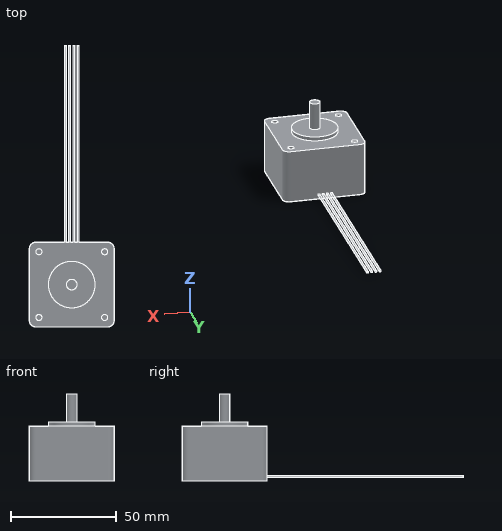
import cadquery as cq

body_width = 40.13
body_height = 25.91
corner_radius = 3.175

pilot_diameter = 22.0
pilot_height = 2.0
shaft_diameter = 5.0
shaft_tip_height = 41.15

mount_hole_diameter = 2.85
mount_hole_spacing = 31.0
mount_hole_depth = 4.0

wire_count = 4
wire_diameter = 0.96
wire_pitch = 2.032
wire_height = 2.21
overall_length = 132.75
wire_length = overall_length - body_width
wire_embed = 1.0


def make_body():
    body = cq.Workplane("XY").rect(body_width, body_width).extrude(body_height)
    return body.edges("|Z").fillet(corner_radius)


def make_pilot():
    return cq.Workplane("XY", origin=(0, 0, body_height)).circle(pilot_diameter / 2).extrude(pilot_height)


def make_shaft():
    shaft_length = shaft_tip_height - body_height
    return cq.Workplane("XY", origin=(0, 0, body_height)).circle(shaft_diameter / 2).extrude(shaft_length)


def make_mount_holes():
    hole_floor = body_height - mount_hole_depth
    return (
        cq.Workplane("XY", origin=(0, 0, hole_floor))
        .rarray(mount_hole_spacing, mount_hole_spacing, 2, 2)
        .circle(mount_hole_diameter / 2)
        .extrude(mount_hole_depth)
    )


def make_wire(x):
    wire_start = body_width / 2 - wire_embed
    return (
        cq.Workplane("XZ", origin=(x, wire_start, wire_height))
        .circle(wire_diameter / 2)
        .extrude(-(wire_length + wire_embed))
    )


result = make_body().cut(make_mount_holes()).union(make_pilot()).union(make_shaft())

first_wire_x = -wire_pitch * (wire_count - 1) / 2
for index in range(wire_count):
    result = result.union(make_wire(first_wire_x + index * wire_pitch))